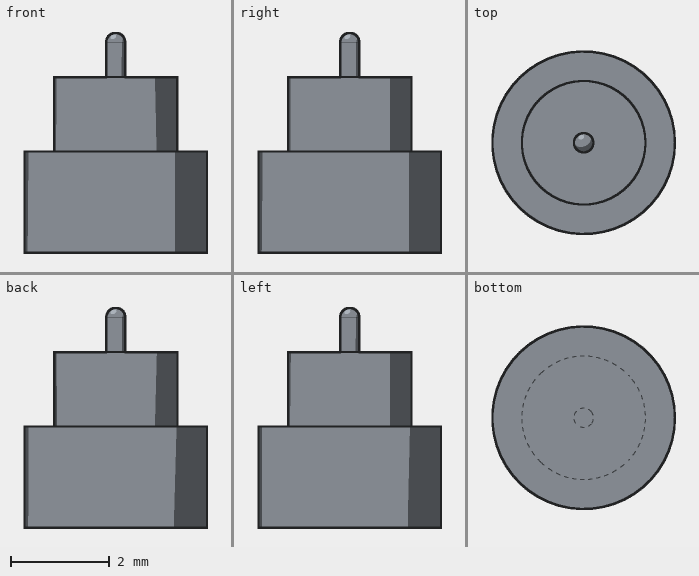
import cadquery as cq

total_height = 4.45
base_diameter = 3.7
base_height = 2.05
neck_diameter = 2.5
neck_height = 1.5
pin_diameter = 0.39

pin_radius = pin_diameter / 2
neck_top = base_height + neck_height
pin_height = total_height - neck_top

base = cq.Workplane("XY").circle(base_diameter / 2).extrude(base_height)
neck = (
    cq.Workplane("XY")
    .workplane(offset=base_height)
    .circle(neck_diameter / 2)
    .extrude(neck_height)
)

pin = (
    cq.Workplane("XY")
    .workplane(offset=neck_top)
    .circle(pin_radius)
    .extrude(pin_height - pin_radius)
)
tip = cq.Workplane("XY").sphere(pin_radius).translate((0, 0, total_height - pin_radius))

result = base.union(neck).union(pin).union(tip)